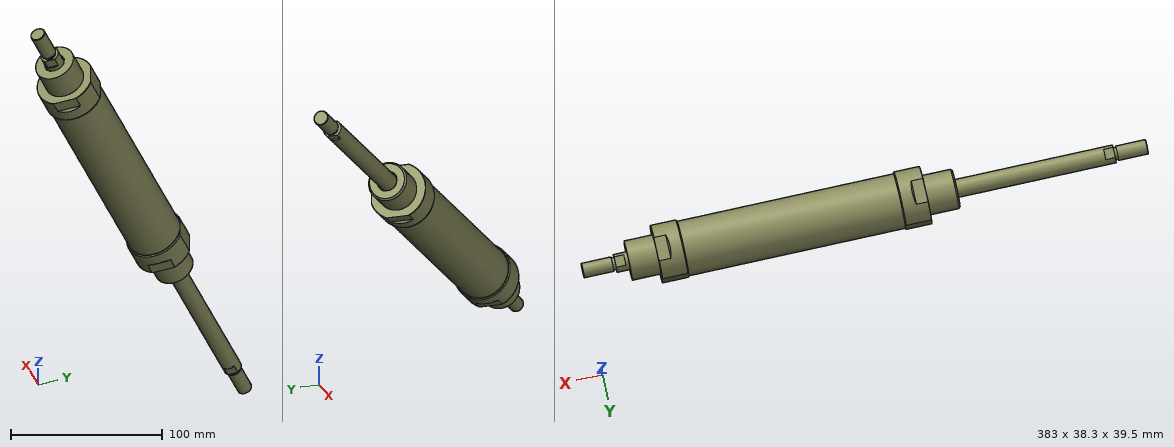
import cadquery as cq


total_length = 383.0
left_boss_start = 129.5
left_boss_length = 20.5
right_boss_length = 19.0
right_rod_reach = 31.0
cap_length = 18.0

rod_diameter = 12.3
stud_diameter = 10.0
stud_length = 20.3
stud_chamfer = 0.5
neck_diameter = 8.5
neck_length = 2.0
rod_flat_length = 6.5
rod_across_flats = 10.0

cap_diameter = 39.5
boss_diameter = 27.0
boss_chamfer = 1.0
boss_bore_diameter = 13.8
boss_bore_depth = 2.0
cap_rim_chamfer = 0.8
cap_face_chamfer = 0.23
cap_side_flat = 18.5
cap_across_flats = 36.0
wrench_flat_length = 8.0
wrench_flat_ramp = 1.0

tube_diameter = 37.0

left_cap_start = left_boss_start + left_boss_length
right_boss_end = total_length - right_rod_reach
right_cap_end = right_boss_end - right_boss_length
tube_start = left_cap_start + cap_length
tube_length = right_cap_end - cap_length - tube_start


def cylinder_x(start, length, diameter):
    """Solid cylinder along +X from the given station."""
    return cq.Workplane("YZ", origin=(start, 0, 0)).circle(diameter / 2).extrude(length)


def make_rod(length):
    """Rod with its threaded tip at x = 0 and its plain end at x = length."""
    shoulder = stud_length + neck_length
    stud = cylinder_x(0, stud_length, stud_diameter).faces("<X").chamfer(stud_chamfer)
    neck = cylinder_x(stud_length, neck_length, neck_diameter)
    shank = cylinder_x(shoulder, length - shoulder, rod_diameter)
    between_flats = cq.Workplane("XY").box(
        length, rod_diameter, rod_across_flats, centered=(False, True, True)
    )
    behind_flats = cylinder_x(shoulder + rod_flat_length, length, rod_diameter)
    shank = shank.intersect(between_flats.union(behind_flats))
    return stud.union(neck).union(shank)


def cut_wrench_flats(cap):
    """Cut the flats on +Z and -Z, starting at x = 0 and ramping out to the rim."""
    flat_z = cap_across_flats / 2
    rim_z = cap_diameter / 2
    ramp_end = wrench_flat_length + wrench_flat_ramp
    cutter = (
        cq.Workplane("XZ")
        .moveTo(0, flat_z)
        .lineTo(wrench_flat_length, flat_z)
        .lineTo(ramp_end, rim_z)
        .lineTo(0, rim_z)
        .close()
        .extrude(cap_diameter / 2, both=True)
    )
    return cap.cut(cutter).cut(cutter.mirror("XY"))


def make_cap(boss_length, chamfered_boss):
    """End cap whose outer face is at x = 0, with the boss towards -X and the tube towards +X."""
    cap = cylinder_x(0, cap_length, cap_diameter)
    cap = cap.faces(">X").chamfer(cap_rim_chamfer)
    cap = cap.faces("<X").chamfer(cap_face_chamfer)
    below_side_flat = cq.Workplane("XY").box(
        cap_length, cap_diameter / 2 + cap_side_flat, cap_diameter, centered=(False, False, True)
    ).translate((0, -cap_diameter / 2, 0))
    cap = cut_wrench_flats(cap.intersect(below_side_flat))
    boss = cylinder_x(-boss_length, boss_length, boss_diameter)
    if chamfered_boss:
        boss = boss.faces("<X").chamfer(boss_chamfer)
    bore = cylinder_x(-boss_length, boss_bore_depth, boss_bore_diameter)
    return cap.union(boss).cut(bore)


def face_right(body, station):
    """Turn a left-end body into a right-end body with its x = 0 at the station."""
    return body.mirror("YZ").translate((station, 0, 0))


tube = cylinder_x(tube_start, tube_length, tube_diameter)
left_cap = make_cap(left_boss_length, chamfered_boss=True).translate((left_cap_start, 0, 0))
right_cap = face_right(make_cap(right_boss_length, chamfered_boss=False), right_cap_end)
left_rod = make_rod(left_boss_start + boss_bore_depth)
right_rod = face_right(make_rod(right_rod_reach + boss_bore_depth), total_length)

bodies = [tube, left_cap, right_cap, left_rod, right_rod]
result = cq.Compound.makeCompound([body.val() for body in bodies])